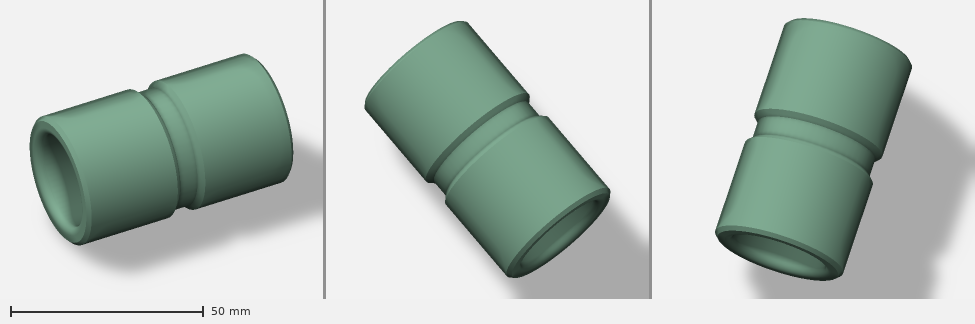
import cadquery as cq

length = 60.0
outer_diameter = 35.0
bore_diameter = 25.0
end_chamfer = 1.0
mouth_radius = 2.0
groove_floor_width = 5.0
groove_floor_diameter = 32.0

half_length = length / 2
outer_radius = outer_diameter / 2
groove_floor_radius = groove_floor_diameter / 2
groove_depth = outer_radius - groove_floor_radius
groove_floor_half = groove_floor_width / 2
groove_top_half = groove_floor_half + groove_depth


def sleeve():
    """Plain tube with chamfered outer rims and rounded bore mouths."""
    body = cq.Workplane("XZ").circle(outer_radius).extrude(half_length, both=True)
    body = body.faces("<Y or >Y").chamfer(end_chamfer)
    bore = cq.Workplane("XZ").circle(bore_diameter / 2).extrude(half_length, both=True)
    body = body.cut(bore)
    mouth_edges = cq.selectors.RadiusNthSelector(0)
    return body.faces("<Y or >Y").edges(mouth_edges).fillet(mouth_radius)


def groove():
    """Ring with 45 degree walls, to be removed around the middle of the sleeve."""
    return (
        cq.Workplane("XY")
        .moveTo(groove_floor_radius, -groove_floor_half)
        .lineTo(outer_radius, -groove_top_half)
        .lineTo(outer_radius, groove_top_half)
        .lineTo(groove_floor_radius, groove_floor_half)
        .close()
        .revolve(360, (0, 0, 0), (0, 1, 0))
    )


result = sleeve().cut(groove())